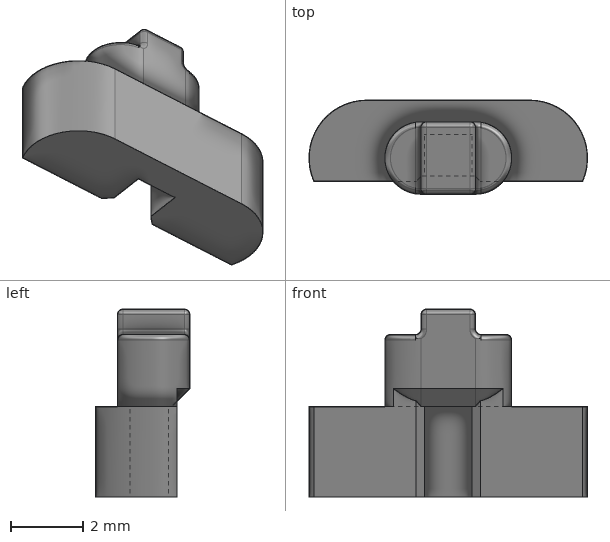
import cadquery as cq
import math

length = 7.7
end_radius = 1.6
base_height = 2.5
front_y = -0.65
end_center_x = length / 2 - end_radius

key_radius = 1.0
tongue_width = 1.5
key_length = tongue_width + 2 * key_radius
overhang_z = 3.0
shoulder_z = 4.5
top_z = 5.2
edge_radius = 0.155

groove_width = 1.3
groove_depth = 1.3
mouth_chamfer = 0.24


def make_base():
    front_x = end_center_x + math.sqrt(end_radius**2 - front_y**2)
    diagonal = end_radius / math.sqrt(2)
    arc_x = end_center_x + diagonal
    return (
        cq.Workplane("XY")
        .moveTo(-front_x, front_y)
        .lineTo(front_x, front_y)
        .threePointArc((arc_x, diagonal), (end_center_x, end_radius))
        .lineTo(-end_center_x, end_radius)
        .threePointArc((-arc_x, diagonal), (-front_x, front_y))
        .close()
        .extrude(base_height)
    )


def stadium(bottom, top):
    return (
        cq.Workplane("XY", origin=(0, 0, bottom))
        .slot2D(key_length, 2 * key_radius)
        .extrude(top - bottom)
    )


def make_neck(neck_front_y):
    """Part of the key below the overhang, cut flat at the given front plane."""
    neck_depth = key_radius - neck_front_y
    keep = (
        cq.Workplane("XY", origin=(0, neck_front_y + neck_depth / 2, base_height))
        .rect(key_length, neck_depth)
        .extrude(overhang_z - base_height)
    )
    return stadium(base_height, overhang_z).intersect(keep)


def make_overhang():
    """45 degree bevel under the key, narrowing down to the top of the base."""
    drop = overhang_z - base_height
    return (
        cq.Workplane("XY", origin=(0, 0, overhang_z))
        .slot2D(key_length, 2 * key_radius)
        .workplane(offset=-drop)
        .slot2D(key_length - 2 * drop, 2 * (key_radius - drop))
        .loft(ruled=True)
    )


def make_groove():
    half = groove_width / 2
    mouth_half = half + mouth_chamfer
    back_y = front_y + groove_depth
    chamfer_y = front_y + mouth_chamfer
    return (
        cq.Workplane("XY")
        .polyline([
            (-mouth_half, front_y),
            (-half, chamfer_y),
            (-half, back_y),
            (half, back_y),
            (half, chamfer_y),
            (mouth_half, front_y),
        ])
        .close()
        .extrude(overhang_z)
    )


def box_selector(half_x, half_y, upper_z):
    """Select edges centered from just below the shoulders up to the given height."""
    clearance = edge_radius / 4
    return cq.selectors.BoxSelector(
        (-half_x, -half_y - clearance, shoulder_z - clearance),
        (half_x, half_y + clearance, upper_z + clearance),
    )


def make_rounded_ridge():
    """Straight bar of the tongue section, with every top edge and inner corner rounded."""
    tongue_half = tongue_width / 2
    shoulder_half = key_length / 2 + edge_radius
    ridge = (
        cq.Workplane("XZ", origin=(0, key_radius, 0))
        .polyline([
            (-shoulder_half, overhang_z),
            (shoulder_half, overhang_z),
            (shoulder_half, shoulder_z),
            (tongue_half, shoulder_z),
            (tongue_half, top_z),
            (-tongue_half, top_z),
            (-tongue_half, shoulder_z),
            (-shoulder_half, shoulder_z),
        ])
        .close()
        .extrude(2 * key_radius)
    )
    inner_corners = box_selector(tongue_width, key_radius, shoulder_z)
    ridge = ridge.edges(inner_corners).edges("|Y").fillet(edge_radius)
    upper_edges = box_selector(key_length, 2 * key_radius, top_z)
    shoulder_lines = box_selector(key_length, edge_radius, shoulder_z)
    fillet_seams = box_selector(tongue_width, edge_radius, shoulder_z + edge_radius)
    return ridge.edges(upper_edges - shoulder_lines - fillet_seams).fillet(edge_radius)


def make_key():
    """Rounded ridge trimmed to the stadium, with the rims of its shoulders rounded."""
    shoulders = stadium(overhang_z, shoulder_z).faces(">Z").edges().fillet(edge_radius)
    core_width = tongue_width + 2 * edge_radius
    core = (
        cq.Workplane("XY", origin=(0, 0, overhang_z))
        .rect(core_width, 2 * key_radius)
        .extrude(top_z - overhang_z)
        .intersect(stadium(overhang_z, top_z))
    )
    return make_rounded_ridge().intersect(shoulders.union(core))


base = make_base().union(make_neck(front_y)).cut(make_groove())
result = base.union(make_neck(0)).union(make_overhang()).union(make_key())